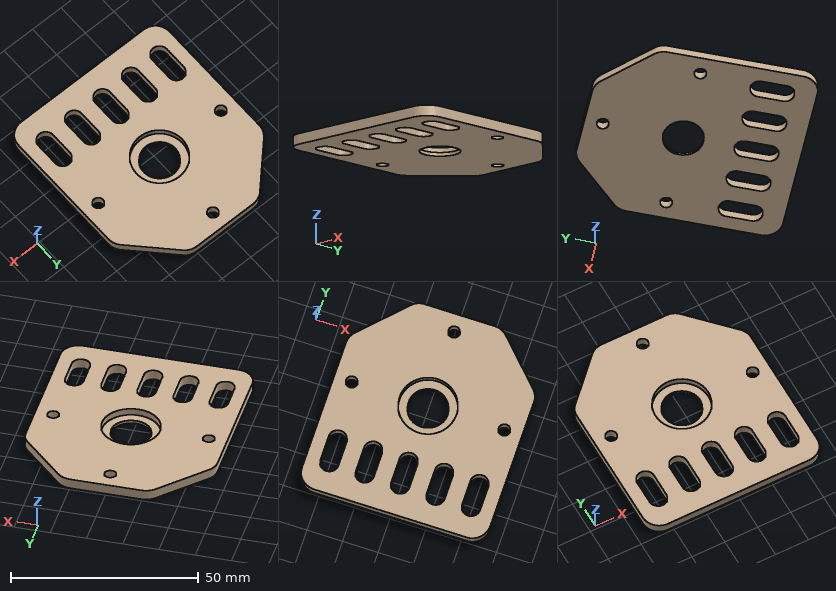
import cadquery as cq

width = 53.0
length = 59.0
thickness = 3.0
top_edge = 27.0
bottom_edge = top_edge - length
shoulder_width = 14.5
shoulder_height = 15.0
corner_radius = 5.0

bore_diameter = 11.0
recess_diameter = 16.0
recess_depth = 2.0

mount_diameter = 3.2
side_mount_offset = 21.5
top_mount_offset = 22.0

slot_count = 5
slot_pitch = 10.0
slot_width = 5.0
slot_length = 12.0
slot_center_y = -20.0


def make_plate():
    """Rectangular plate with two sloping shoulders and rounded corners."""
    half_width = width / 2
    flat_half_width = half_width - shoulder_width
    shoulder_y = top_edge - shoulder_height
    outline = [
        (-half_width, bottom_edge),
        (half_width, bottom_edge),
        (half_width, shoulder_y),
        (flat_half_width, top_edge),
        (-flat_half_width, top_edge),
        (-half_width, shoulder_y),
    ]
    plate = cq.Workplane("XY").polyline(outline).close().extrude(thickness)
    return plate.edges("|Z").fillet(corner_radius)


def cut_bearing_hole(plate):
    """Through bore with a wider recess in the top face."""
    top_face = plate.faces(">Z").workplane(origin=(0, 0, thickness))
    return top_face.cboreHole(bore_diameter, recess_diameter, recess_depth)


def cut_mounting_holes(plate):
    """One hole on each side of the bearing and one above it."""
    centers = [
        (-side_mount_offset, 0),
        (side_mount_offset, 0),
        (0, top_mount_offset),
    ]
    top_face = plate.faces(">Z").workplane(origin=(0, 0, thickness))
    return top_face.pushPoints(centers).hole(mount_diameter)


def cut_slots(plate):
    """Evenly spaced slots running along Y, centred on the plate."""
    slots = (
        cq.Workplane("XY")
        .center(0, slot_center_y)
        .rarray(slot_pitch, 0.6, slot_count, 1)
        .slot2D(slot_length, slot_width, 90)
        .extrude(thickness)
    )
    return plate.cut(slots)


result = cut_slots(cut_mounting_holes(cut_bearing_hole(make_plate())))